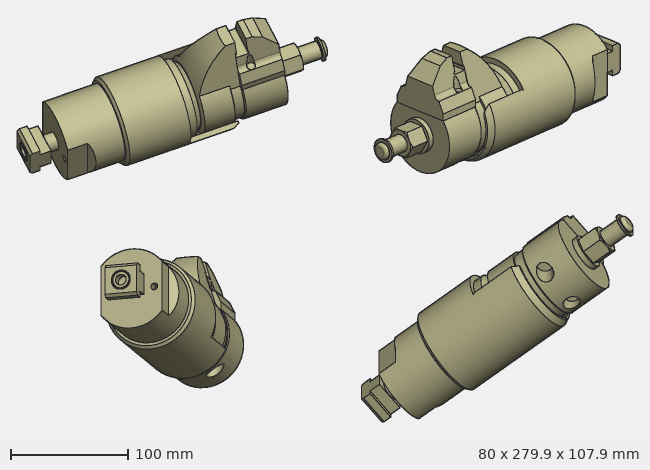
import cadquery as cq
import math

FAR = 400.0

SPINDLE_R = 8.0
SPINDLE_END = 250.43
SPINDLE_TIP_ROUND = 3.5
SPINDLE_FRONT_CHAMFER = 0.8
SOCKET_R = 4.7
SOCKET_DEPTH = 8.0
RING_R = 10.6
RING_T = 1.8
RING_FRONT = 244.8
GROOVE_R = 7.5
GROOVE_FRONT = 244.0

TNUT_FRONT = -29.5
TNUT_STEP = -19.9
TNUT_BACK = -9.75
TNUT_SIZE = 28.5
TNUT_NECK = 18.0
TNUT_CHAMFER = 2.5
TNUT_BORE_CHAMFER = 0.5

BODY_R = 35.0
CORE_BACK = 122.2
CORE_CHAMFER = 5.4
CORE_FLATS = 55.0
FLAT_LENGTH = 18.1
FLAT_RUNOUT = 23.0
RUNOUT_MID = (29.9, 20.3)
PIN_HOLE_R = 2.9
PIN_HOLE_X = 20.4
PIN_HOLE_DEPTH = 10.0
DRILL_TIP_DEPTH = 1.7

SLEEVE_R = 40.0
SLEEVE_FRONT = 49.8
SLEEVE_BACK = 156.6
SLEEVE_FRONT_CHAMFER = 2.5
SLEEVE_BACK_CHAMFER = 3.0
SLEEVE_BACK_CHAMFER_LENGTH = 6.1
WINDOW_FRONT = 108.9
WINDOW_LEFT = -32.9
WINDOW_FLOOR = -17.4

TOP_Z = 67.9
TOP_HALF_WIDTH = 9.8
HOOK_FLANK_SLOPE = 0.312
HOOK_SPHERE_R = 81.7
HOOK_SPHERE_Y = 197.9
NECK_R = 33.0
NECK_FRONT = 152.1
JOINT_Y = 161.4
LIP_BOTTOM = 55.4
LIP_LENGTH = 1.0

JAW_BACK = 201.2
SPLIT_Z = 21.75
SLOT_WALL = 172.7
SLOT_FLOOR = 52.0
SLOT_RELIEF_R = 1.2
JAW_FLANK_SLOPE = 0.283
SHOULDER_X = 22.4
SHOULDER_Z = 38.5
SKIRT_TOP_Z = 28.3
BACK_TOP_Z = 50.3
BEVEL_Y = 187.7
TOP_FLAT_END = 178.4
CARRIER_CHAMFER = 1.0
SCREW_X = 18.4
SCREW_Y = 173.7
SPOT_R = 3.7
SPOT_Z = 38.3
COUNTERBORE_R = 7.4
COUNTERBORE_TOP = -12.0

NUT_HEX = 24.0
NUT_HEIGHT = 24.0
COLLAR_R = 15.6
COLLAR_T = 5.0
HEX_CHAMFER_ANGLE = 30.0


def disc(radius, start, end):
    """Cylinder about the Y axis between two Y positions."""
    return cq.Workplane("XZ", origin=(0, start, 0)).circle(radius).extrude(start - end)


def turned(points):
    """Body of revolution about the Y axis from (radius, y) points."""
    return cq.Workplane("XY").polyline(points).close().revolve(360, (0, 0, 0), (0, 1, 0))


def box(x0, x1, y0, y1, z0, z1):
    """Box between opposite corners."""
    return cq.Workplane("XY").box(x1 - x0, y1 - y0, z1 - z0, centered=False).translate((x0, y0, z0))


def prism(points, start, end):
    """Closed (x, z) outline extruded between two Y positions."""
    return cq.Workplane("XZ", origin=(0, start, 0)).polyline(points).close().extrude(start - end)


def make_spindle():
    spindle = disc(SPINDLE_R, TNUT_FRONT, SPINDLE_END)
    spindle = spindle.faces(">Y").edges().fillet(SPINDLE_TIP_ROUND)
    spindle = spindle.faces("<Y").edges().chamfer(SPINDLE_FRONT_CHAMFER)
    groove = disc(SPINDLE_R, GROOVE_FRONT, RING_FRONT + RING_T)
    groove = groove.cut(disc(GROOVE_R, GROOVE_FRONT, RING_FRONT + RING_T))
    socket = disc(SOCKET_R, TNUT_FRONT, TNUT_FRONT + SOCKET_DEPTH)
    return spindle.cut(groove).cut(socket)


def make_retaining_ring():
    ring = disc(RING_R, RING_FRONT, RING_FRONT + RING_T)
    return ring.cut(disc(GROOVE_R, RING_FRONT, RING_FRONT + RING_T))


def make_t_nut():
    half = TNUT_SIZE / 2
    head = box(-half, half, TNUT_FRONT, TNUT_STEP, -half, half)
    head = head.faces("<Y").edges("|X").chamfer(TNUT_CHAMFER)
    neck = box(-half, half, TNUT_STEP, TNUT_BACK, -TNUT_NECK / 2, TNUT_NECK / 2)
    nut = head.union(neck).cut(disc(SPINDLE_R, TNUT_FRONT, TNUT_BACK))
    return nut.faces("<Y").edges("%CIRCLE").chamfer(TNUT_BORE_CHAMFER)


def flat_cutter(side):
    """Side flat at the front of the core with its curved run-out."""
    half = CORE_FLATS / 2
    return (
        cq.Workplane("XY", origin=(0, 0, -BODY_R))
        .moveTo(side * half, 0)
        .lineTo(side * half, FLAT_LENGTH)
        .threePointArc((side * RUNOUT_MID[0], RUNOUT_MID[1]), (side * BODY_R, FLAT_RUNOUT))
        .lineTo(side * SLEEVE_R, FLAT_RUNOUT)
        .lineTo(side * SLEEVE_R, 0)
        .close()
        .extrude(2 * BODY_R)
    )


def make_core():
    core = disc(BODY_R, 0, CORE_BACK).faces(">Y").edges().chamfer(CORE_CHAMFER)
    for side in (-1, 1):
        core = core.cut(flat_cutter(side))
    pin_hole = turned([
        (0, 0),
        (PIN_HOLE_R, 0),
        (PIN_HOLE_R, PIN_HOLE_DEPTH),
        (0, PIN_HOLE_DEPTH + DRILL_TIP_DEPTH),
    ])
    core = core.cut(pin_hole.translate((PIN_HOLE_X, 0, 0)))
    return core.cut(disc(SPINDLE_R, 0, CORE_BACK))


def make_sleeve():
    sleeve = turned([
        (BODY_R, SLEEVE_FRONT),
        (SLEEVE_R - SLEEVE_FRONT_CHAMFER, SLEEVE_FRONT),
        (SLEEVE_R, SLEEVE_FRONT + SLEEVE_FRONT_CHAMFER),
        (SLEEVE_R, SLEEVE_BACK - SLEEVE_BACK_CHAMFER_LENGTH),
        (SLEEVE_R - SLEEVE_BACK_CHAMFER, SLEEVE_BACK),
        (BODY_R, SLEEVE_BACK),
    ])
    return sleeve.cut(box(WINDOW_LEFT, FAR, WINDOW_FRONT, SLEEVE_BACK, WINDOW_FLOOR, FAR))


def make_hook():
    bottom_half_width = TOP_HALF_WIDTH + HOOK_FLANK_SLOPE * TOP_Z
    finger_outline = [
        (-TOP_HALF_WIDTH, TOP_Z),
        (TOP_HALF_WIDTH, TOP_Z),
        (bottom_half_width, 0),
        (-bottom_half_width, 0),
    ]
    finger = prism(finger_outline, CORE_BACK, JOINT_Y + LIP_LENGTH)
    finger = finger.cut(box(-FAR, FAR, JOINT_Y, FAR, -FAR, LIP_BOTTOM))
    hook = disc(BODY_R, CORE_BACK, NECK_FRONT).union(disc(NECK_R, CORE_BACK, JOINT_Y)).union(finger)
    ball = cq.Workplane("XY").sphere(HOOK_SPHERE_R).translate((0, HOOK_SPHERE_Y, 0))
    return hook.intersect(ball).cut(disc(SPINDLE_R, CORE_BACK, JOINT_Y))


def jaw_section():
    """Cross-section of the jaw: tapered finger, filleted shoulders and skirt."""
    slope = math.atan(JAW_FLANK_SLOPE)
    shoulder_run = (SHOULDER_X - TOP_HALF_WIDTH) * math.cos(slope)
    shoulder_drop = (TOP_Z - SHOULDER_Z) * math.sin(slope)
    radius = (shoulder_run - shoulder_drop) / (1 - math.sin(slope))
    centre_z = SHOULDER_Z + radius
    mid_angle = (slope + math.pi / 2) / 2
    flank_x = SHOULDER_X - radius * math.cos(slope)
    flank_z = centre_z - radius * math.sin(slope)
    mid_x = SHOULDER_X - radius * math.cos(mid_angle)
    mid_z = centre_z - radius * math.sin(mid_angle)
    skirt_x = math.sqrt(BODY_R**2 - SPLIT_Z**2)
    return (
        cq.Workplane("XZ", origin=(0, JOINT_Y, 0))
        .moveTo(-TOP_HALF_WIDTH, TOP_Z)
        .lineTo(TOP_HALF_WIDTH, TOP_Z)
        .lineTo(flank_x, flank_z)
        .threePointArc((mid_x, mid_z), (SHOULDER_X, SHOULDER_Z))
        .lineTo(skirt_x, SKIRT_TOP_Z)
        .lineTo(skirt_x, SPLIT_Z)
        .lineTo(-skirt_x, SPLIT_Z)
        .lineTo(-skirt_x, SKIRT_TOP_Z)
        .lineTo(-SHOULDER_X, SHOULDER_Z)
        .threePointArc((-mid_x, mid_z), (-flank_x, flank_z))
        .close()
    )


def make_jaw():
    jaw = jaw_section().extrude(JOINT_Y - JAW_BACK)
    side_outline = [
        (JOINT_Y, SPLIT_Z),
        (JOINT_Y, SLOT_FLOOR),
        (SLOT_WALL, SLOT_FLOOR),
        (SLOT_WALL, TOP_Z),
        (TOP_FLAT_END, TOP_Z),
        (BEVEL_Y, BACK_TOP_Z + JAW_BACK - BEVEL_Y),
        (JAW_BACK, BACK_TOP_Z),
        (JAW_BACK, SPLIT_Z),
    ]
    side = cq.Workplane("YZ").polyline(side_outline).close().extrude(BODY_R, both=True)
    relief = (
        cq.Workplane("YZ")
        .center(SLOT_WALL, SLOT_FLOOR + SLOT_RELIEF_R)
        .circle(SLOT_RELIEF_R)
        .extrude(BODY_R, both=True)
    )
    spots = (
        cq.Workplane("XY", origin=(0, SCREW_Y, SPOT_Z))
        .pushPoints([(-SCREW_X, 0), (SCREW_X, 0)])
        .circle(SPOT_R)
        .extrude(TOP_Z)
    )
    return jaw.intersect(side).cut(relief).cut(spots)


def make_carrier():
    carrier = disc(BODY_R, JOINT_Y, JAW_BACK).faces("<Y").edges().chamfer(CARRIER_CHAMFER)
    carrier = carrier.cut(box(-FAR, FAR, JOINT_Y, JAW_BACK, SPLIT_Z, FAR))
    counterbores = (
        cq.Workplane("XY", origin=(0, SCREW_Y, COUNTERBORE_TOP))
        .pushPoints([(-SCREW_X, 0), (SCREW_X, 0)])
        .circle(COUNTERBORE_R)
        .extrude(-BODY_R)
    )
    return carrier.cut(counterbores).cut(disc(SPINDLE_R, JOINT_Y, JAW_BACK))


def make_collar_nut():
    corner_r = NUT_HEX / math.sqrt(3)
    nut_back = JAW_BACK + NUT_HEIGHT
    corner_drop = (corner_r - NUT_HEX / 2) * math.tan(math.radians(HEX_CHAMFER_ANGLE))
    hexagon = (
        cq.Workplane("XZ", origin=(0, JAW_BACK, 0)).polygon(6, 2 * corner_r).extrude(-NUT_HEIGHT)
    )
    corner_cone = turned([
        (0, JAW_BACK),
        (corner_r, JAW_BACK),
        (corner_r, nut_back - corner_drop),
        (NUT_HEX / 2, nut_back),
        (0, nut_back),
    ])
    collar = disc(COLLAR_R, JAW_BACK, JAW_BACK + COLLAR_T)
    return hexagon.intersect(corner_cone).union(collar).cut(disc(SPINDLE_R, JAW_BACK, nut_back))


bodies = [
    make_spindle(),
    make_retaining_ring(),
    make_t_nut(),
    make_core(),
    make_sleeve(),
    make_hook(),
    make_jaw(),
    make_carrier(),
    make_collar_nut(),
]

result = cq.Compound.makeCompound([body.solids().val() for body in bodies])